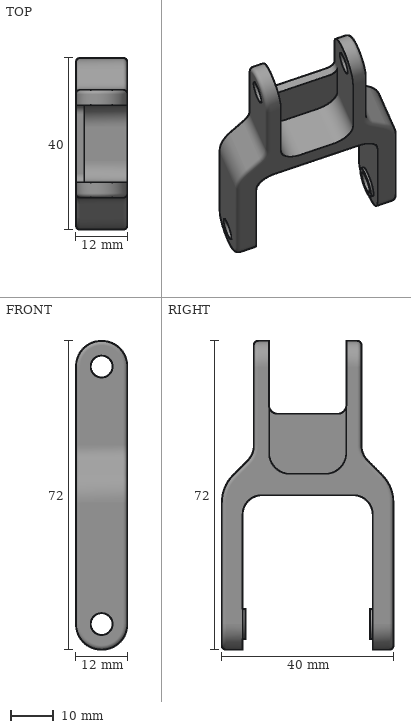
import cadquery as cq
import math

height = 72.0
width = 12.0
lower_span = 40.0
upper_span = 25.1

upper_gap = 18.0
lower_gap = 30.25
web_top = 55.0
web_corner = 2.0
web_thickness = 2.0
bridge_bottom = height / 2
bridge_thickness = 5.0
leg_corner = 4.5
pocket_corner = 5.0

shoulder_bottom = 34.35
shoulder_angle = math.radians(45)
convex_radius = 9.0
concave_radius = 5.0

edge_radius = 1.0
hole_diameter = 5.05
boss_diameter = 7.05
boss_height = 0.65

end_radius = width / 2
hole_heights = (end_radius, height - end_radius)


def arc_point(center, radius, angle):
    """Point in the YZ plane at an angle from the +Y direction."""
    return (center[0] + radius * math.cos(angle), center[1] + radius * math.sin(angle))


def outer_body():
    """Stepped solid with rounded ends and rounded outer edges."""
    lower_y = lower_span / 2
    upper_y = upper_span / 2
    radii = convex_radius + concave_radius
    level_run = radii * (1 - math.cos(shoulder_angle))
    slope_rise = (lower_y - upper_y - level_run) * math.tan(shoulder_angle)
    shoulder_top = shoulder_bottom + radii * math.sin(shoulder_angle) + slope_rise
    convex_center = (lower_y - convex_radius, shoulder_bottom)
    concave_center = (upper_y + concave_radius, shoulder_top)
    half_angle = shoulder_angle / 2

    half = (
        cq.Workplane("YZ")
        .moveTo(0, 0)
        .lineTo(lower_y, 0)
        .lineTo(lower_y, shoulder_bottom)
        .threePointArc(
            arc_point(convex_center, convex_radius, half_angle),
            arc_point(convex_center, convex_radius, shoulder_angle),
        )
        .lineTo(*arc_point(concave_center, concave_radius, math.pi + shoulder_angle))
        .threePointArc(
            arc_point(concave_center, concave_radius, math.pi + half_angle),
            (upper_y, shoulder_top),
        )
        .lineTo(upper_y, height)
        .lineTo(0, height)
        .close()
        .extrude(width / 2, both=True)
    )
    body = half.union(half.mirror("XZ")).clean()
    rounded_ends = (
        cq.Workplane("XZ")
        .center(0, height / 2)
        .slot2D(height, width, 90)
        .extrude(lower_span, both=True)
    )
    body = body.intersect(rounded_ends)
    return body.edges("not (|X or |Y)").fillet(edge_radius)


def opening(gap, bottom, top, x_start, corner, corner_edges):
    """Cutter centred on Y, running from x_start past the +X side."""
    return (
        cq.Workplane("XY")
        .box(width * 2, gap, top - bottom, centered=(False, True, False))
        .translate((x_start, 0, bottom))
        .edges("|X")
        .edges(corner_edges)
        .fillet(corner)
    )


def y_cylinder(diameter, span, z):
    """Cylinder along Y, centred on the part."""
    return cq.Workplane("XZ").center(0, z).circle(diameter / 2).extrude(span / 2, both=True)


pocket_floor = bridge_bottom + bridge_thickness
result = (
    outer_body()
    .cut(opening(lower_gap, -height, bridge_bottom, -width, leg_corner, ">Z"))
    .cut(opening(upper_gap, web_top, 2 * height, -width, web_corner, "<Z"))
    .cut(opening(upper_gap, pocket_floor, 2 * height, web_thickness - width / 2, pocket_corner, "<Z"))
)

bosses = y_cylinder(boss_diameter, lower_gap, hole_heights[0]).cut(
    y_cylinder(boss_diameter, lower_gap - 2 * boss_height, hole_heights[0])
)
result = result.union(bosses)

for z in hole_heights:
    result = result.cut(y_cylinder(hole_diameter, 2 * lower_span, z))